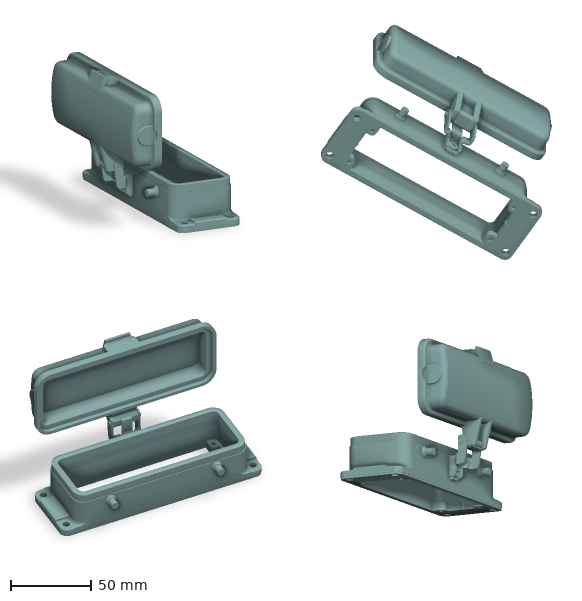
import cadquery as cq
import math


ROOT = 1.4
MARGIN = 0.1

FLANGE_LENGTH = 140.0
FLANGE_WIDTH = 43.7
FLANGE_HEIGHT = 5.2
FLANGE_CORNER = 4.9
FLANGE_EDGE_FILLET = 1.0
FOOT_HEIGHT = 1.3
FOOT_INSET = 0.1

WALL_LENGTH = 120.1
WALL_WIDTH = 43.5
WALL_CORNER = 7.5
WALL_BASE_FILLET = 2.1
WALL_TOP = 23.1
COLLAR_INSET = 0.4
COLLAR_TOP = 28.3
RIM_CROWN = 0.4

OPENING_LENGTH = 111.5
OPENING_WIDTH = 34.9
OPENING_CORNER = 3.6
CAVITY_GROWTH = 0.5
THROAT_TOP = 22.5
THROAT_BOTTOM = 16.8

MOUNT_HOLE = 4.8
MOUNT_SPACING = (130.2, 31.9)
PAD_WIDTH = 22.0
PAD_TOP = 6.5

BOSS_HOLE = 3.0
BOSS_SPACING = (104.2, 26.9)
BOSS_ROUND = 3.1
BOSS_SIDE_MARGIN = 3.5
BOSS_HEIGHT = FLANGE_HEIGHT
END_LEDGE = 1.1
KEY_DIAMETER = 3.0
KEY_PROJECTION = 0.5

PEG_DIAMETER = 4.8
PEG_X = 37.0
PEG_Z = 18.9
PEG_TIP = 28.5
PEG_BASE_DIAMETER = 7.5
PEG_BASE_TOP_DIAMETER = 5.6
PEG_BASE_END = 23.2

COVER_BACK = -30.4
COVER_Z = 63.3
RIM_LENGTH = 125.2
RIM_HEIGHT = 48.0
RIM_CORNER = 10.2
RIM_DEPTH = 5.2
RIM_FILLET = 1.3

SHELL_LENGTH = 118.5
SHELL_HEIGHT = 41.2
SHELL_Z = 62.7
SHELL_CORNER = 6.3
SHELL_DRAFT = 1.0
SHELL_FILLET = 3.5
CROWN_FRONT = -48.7
CROWN_RADIUS = 71.4

SEAT_DEPTH = 2.8
COVER_WALL = 2.5
CAVITY_FRONT = -44.8

DISC_Y = -39.5
DISC_FACE_RADIUS = 6.0
DISC_BASE_RADIUS = 6.7
DISC_FACE_X = 60.2
DISC_ROOT = 0.5
NOTCH_RADIUS = 5.9
NOTCH_FLOOR_X = 60.6

LATCH_BLOCK_WIDTH = 21.5
LATCH_BLOCK_FRONT = -42.7
LATCH_BLOCK_CHAMFER = 1.8
LATCH_TAB_WIDTH = 17.4
LATCH_TAB_TOP = 89.2
LATCH_TAB_TIP = 1.5
LATCH_TAB_FOOT_Y = -47.2
LATCH_TAB_FOOT_Z = 79.2

PIN_Y = -33.5
PIN_Z = 30.0
PIN_DIAMETER = 3.0
PIN_LENGTH = 22.0

LUG_WIDTH = 17.4
LUG_WEB_WIDTH = 9.5
LUG_WEB_FRONT = -40.0
LUG_TOP = 44.1
LUG_TOP_FRONT = -46.3
LUG_BOTTOM = 26.2
LUG_NOSE_Y = -42.0
LUG_NOSE_RISE = 1.0
LUG_CORNER = 1.3
LUG_NECK_Y = -33.9
LUG_SHOULDER_Y = -33.0
LUG_SHOULDER_Z = 39.9
LUG_INNER_Y = -36.4
BARREL_RADIUS = 2.1
BARREL_TOP = 1.7
BAR_TOP = 31.4
BAR_BOTTOM = 26.9
BAR_MIDDLE = (BAR_TOP + BAR_BOTTOM) / 2
BAR_DEPTH = 1.4
LUG_RIB_CHAMFER = 0.8

SHEET = 1.4
CHEEK_ROUND = 3.8
CHEEK_BACK = -31.2
CHEEK_TAPER_TOP = 26.6
CHEEK_TIP_Y = -35.7
CHEEK_TIP_CHAMFER = 1.4
BRACKET_TOP = 22.1
BRACKET_BOTTOM = 15.3
BRACKET_FOOT = 8.8
BRACKET_FOOT_DEPTH = 5.0
CHANNEL_WIDTH = 10.4
FLANGE_BACK = -28.5
BEND_RADIUS = 2.5
CHANNEL_ROUND = 1.3

SPRING_WIDTH = 7.3
SPRING_SHEET = 0.8
SPRING_BOTTOM = 7.3
SPRING_BEND = 1.7
SPRING_SHELF_Z = 21.7
SPRING_RISER_Y = -30.0
SPRING_HOOK_Z = 32.0
SPRING_HOOK_LENGTH = 2.1

SCREW_Z = 12.3
SCREW_HEAD = 7.0
SCREW_HEAD_HEIGHT = 2.1
SCREW_HEAD_CHAMFER = 0.5
CROSS_LENGTH = 4.2
CROSS_WIDTH = 1.5
CROSS_DEPTH = 1.1


def rounded_block(length, width, radius, bottom, top):
    """Upright block with rounded vertical edges, centred on the Z axis."""
    return (
        cq.Workplane("XY", origin=(0, 0, bottom))
        .rect(length, width)
        .extrude(top - bottom)
        .edges("|Z")
        .fillet(radius)
    )


def cover_block(length, height, radius, center_z, back, front):
    """Block of the cover running from y = back to y = front, with rounded corners."""
    return (
        cq.Workplane("XZ", origin=(0, back, center_z))
        .rect(length, height)
        .extrude(back - front)
        .edges("|Y")
        .fillet(radius)
    )


def edges_inside(low, high):
    """Selector for edges lying wholly inside the box between two corners."""
    return cq.selectors.BoxSelector(
        [value - MARGIN for value in low], [value + MARGIN for value in high], boundingbox=True
    )


def side_profile(points, width):
    """Closed (y, z) outline given a width along X, centred on x = 0."""
    return cq.Workplane("YZ").polyline(points).close().extrude(width / 2, both=True)


def housing_shell():
    """Flange and wall with the concave fillet between them, trimmed to the flange outline."""
    oversize = WALL_WIDTH + 4 * WALL_BASE_FILLET
    plate = cq.Workplane("XY").rect(FLANGE_LENGTH, oversize).extrude(FLANGE_HEIGHT)
    wall = rounded_block(WALL_LENGTH, WALL_WIDTH, WALL_CORNER, FLANGE_HEIGHT, WALL_TOP)
    corner = (WALL_LENGTH / 2, WALL_WIDTH / 2)
    root_edges = edges_inside(
        (-corner[0], -corner[1], FLANGE_HEIGHT), (corner[0], corner[1], FLANGE_HEIGHT)
    )
    stepped = plate.union(wall).edges(root_edges).fillet(WALL_BASE_FILLET)

    ends = rounded_block(FLANGE_LENGTH, FLANGE_WIDTH, FLANGE_CORNER, FOOT_HEIGHT, FLANGE_HEIGHT)
    ends = ends.faces(">Z").edges().fillet(FLANGE_EDGE_FILLET)
    foot = rounded_block(
        FLANGE_LENGTH - 2 * FOOT_INSET, FLANGE_WIDTH - 2 * FOOT_INSET, FLANGE_CORNER, 0, FOOT_HEIGHT
    )
    fillet_reach = WALL_LENGTH + 2 * WALL_BASE_FILLET
    middle = cq.Workplane("XY", origin=(0, 0, FOOT_HEIGHT)).rect(fillet_reach, FLANGE_WIDTH)
    middle = middle.extrude(FLANGE_HEIGHT - FOOT_HEIGHT)
    upper = cq.Workplane("XY", origin=(0, 0, FLANGE_HEIGHT)).rect(fillet_reach, WALL_WIDTH)
    upper = upper.extrude(WALL_TOP - FLANGE_HEIGHT)
    envelope = ends.union(foot).union(middle).union(upper)
    return stepped.intersect(envelope)


def collar():
    """Upper part of the wall with a gently crowned rim."""
    length = WALL_LENGTH - 2 * COLLAR_INSET
    width = WALL_WIDTH - 2 * COLLAR_INSET
    block = rounded_block(length, width, WALL_CORNER, WALL_TOP, COLLAR_TOP)

    thickness = (width - OPENING_WIDTH) / 2
    path_corner = WALL_CORNER - thickness / 2
    path = (
        rounded_block(length - thickness, width - thickness, path_corner, COLLAR_TOP - ROOT, COLLAR_TOP)
        .faces(">Z")
        .wires()
    )
    crown_y = -(width - thickness) / 2
    crown = (
        cq.Workplane("YZ", origin=(0, crown_y, COLLAR_TOP))
        .moveTo(-thickness / 2, 0)
        .threePointArc((0, RIM_CROWN), (thickness / 2, 0))
        .close()
        .sweep(path)
    )
    return block.union(crown)


def housing_cavity():
    """Through opening: a narrow mouth that flares to a wider cavity below."""
    mouth = rounded_block(
        OPENING_LENGTH, OPENING_WIDTH, OPENING_CORNER, THROAT_BOTTOM, COLLAR_TOP + 2 * RIM_CROWN
    )
    flare_angle = math.degrees(math.atan(CAVITY_GROWTH / (THROAT_TOP - THROAT_BOTTOM)))
    cavity_length = OPENING_LENGTH + 2 * CAVITY_GROWTH
    cavity_width = OPENING_WIDTH + 2 * CAVITY_GROWTH
    cavity_corner = OPENING_CORNER + CAVITY_GROWTH
    cavity = rounded_block(cavity_length, cavity_width, cavity_corner, 0, THROAT_BOTTOM)
    flare = cavity.faces(">Z").wires().toPending().extrude(
        THROAT_TOP - THROAT_BOTTOM, taper=flare_angle, combine=False
    )
    return mouth.union(cavity).union(flare)


def screw_bosses():
    """Four rounded corner bosses, drilled through, and the end ledges with their keys."""
    boss_x, boss_y = BOSS_SPACING
    inner_x = boss_x / 2 - BOSS_ROUND
    inner_y = boss_y / 2 - BOSS_SIDE_MARGIN
    outer_x = OPENING_LENGTH / 2 + 2 * CAVITY_GROWTH
    outer_y = OPENING_WIDTH / 2 + 2 * CAVITY_GROWTH
    size = (outer_x - inner_x, outer_y - inner_y)
    center = ((outer_x + inner_x) / 2, (outer_y + inner_y) / 2)

    boss = (
        cq.Workplane("XY")
        .center(*center)
        .rect(*size)
        .extrude(BOSS_HEIGHT)
        .edges("|Z and <X and <Y")
        .fillet(BOSS_ROUND)
        .cut(cq.Workplane("XY").center(boss_x / 2, boss_y / 2).circle(BOSS_HOLE / 2).extrude(BOSS_HEIGHT))
    )
    ledge_face = OPENING_LENGTH / 2 - END_LEDGE
    ledge = (
        cq.Workplane("XY")
        .center((ledge_face + outer_x) / 2, 0)
        .rect(outer_x - ledge_face, 2 * inner_y)
        .extrude(BOSS_HEIGHT)
    )
    key_x = ledge_face + KEY_DIAMETER / 2 - KEY_PROJECTION
    key = cq.Workplane("XY").center(key_x, 0).circle(KEY_DIAMETER / 2).extrude(BOSS_HEIGHT)
    end = boss.union(boss.mirror("XZ")).union(ledge).union(key)
    return end.union(end.mirror("YZ"))


def flange_pads():
    """Raised pad in the middle of each flange end, with a rounded outer edge."""
    outer_x = FLANGE_LENGTH / 2
    inner_x = WALL_LENGTH / 2 - ROOT
    pad = cq.Workplane("XY").center((outer_x + inner_x) / 2, 0).rect(outer_x - inner_x, PAD_WIDTH)
    pad = pad.extrude(PAD_TOP - FOOT_HEIGHT).translate((0, 0, FOOT_HEIGHT))
    pad = pad.edges(">X and >Z").fillet(FLANGE_EDGE_FILLET)
    return pad.union(pad.mirror("YZ"))


def locking_peg(x, side):
    """Round peg with a conical base on the wall at y side -1 or +1."""
    inside = WALL_WIDTH / 2 - ROOT
    peg = cq.Workplane("XZ", origin=(0, -inside, 0)).circle(PEG_DIAMETER / 2).extrude(PEG_TIP - inside)
    base = (
        cq.Workplane("XZ", origin=(0, -inside, 0))
        .circle(PEG_BASE_DIAMETER / 2)
        .extrude(WALL_WIDTH / 2 - inside)
        .faces("<Y")
        .workplane()
        .circle(PEG_BASE_DIAMETER / 2)
        .workplane(offset=PEG_BASE_END - WALL_WIDTH / 2)
        .circle(PEG_BASE_TOP_DIAMETER / 2)
        .loft()
    )
    peg = peg.union(base).translate((x, 0, PEG_Z))
    return peg if side < 0 else peg.mirror("XZ")


def make_housing():
    body = housing_shell().union(flange_pads()).union(collar())
    body = body.cut(housing_cavity()).union(screw_bosses())
    for x in (-PEG_X, PEG_X):
        for side in (-1, 1):
            body = body.union(locking_peg(x, side))
    mount_holes = cq.Workplane("XY").rect(*MOUNT_SPACING, forConstruction=True).vertices()
    return body.cut(mount_holes.circle(MOUNT_HOLE / 2).extrude(PAD_TOP))


def cover_shell():
    """Rim and crowned shell with rounded edges and a filleted step between them."""
    rim_front = COVER_BACK - RIM_DEPTH
    outline = cq.Sketch().rect(SHELL_LENGTH, SHELL_HEIGHT).vertices().fillet(SHELL_CORNER)
    shell = (
        cq.Workplane("XZ", origin=(0, COVER_BACK, SHELL_Z))
        .placeSketch(outline)
        .extrude(COVER_BACK - CROWN_FRONT + ROOT, taper=SHELL_DRAFT)
    )
    crown = (
        cq.Workplane("YZ", origin=(0, CROWN_FRONT + CROWN_RADIUS, SHELL_Z))
        .circle(CROWN_RADIUS)
        .extrude(SHELL_LENGTH, both=True)
    )
    shell = shell.intersect(crown).faces("<Y").edges().fillet(SHELL_FILLET)
    rim = cover_block(RIM_LENGTH, RIM_HEIGHT, RIM_CORNER, COVER_Z, COVER_BACK, rim_front)
    rim = rim.faces("<Y").edges().fillet(RIM_FILLET)
    step_edges = edges_inside(
        (-SHELL_LENGTH / 2, rim_front, SHELL_Z - SHELL_HEIGHT / 2),
        (SHELL_LENGTH / 2, rim_front, SHELL_Z + SHELL_HEIGHT / 2),
    )
    return rim.union(shell).edges(step_edges).fillet(RIM_FILLET)


def cover_cavity():
    """Seat for the housing collar and the hollow inside of the shell."""
    seat_front = COVER_BACK - SEAT_DEPTH
    seat = cover_block(WALL_LENGTH, WALL_WIDTH, WALL_CORNER, COVER_Z, COVER_BACK, seat_front)
    hollow = cover_block(
        SHELL_LENGTH - 2 * COVER_WALL,
        SHELL_HEIGHT - 2 * COVER_WALL,
        SHELL_CORNER - COVER_WALL,
        SHELL_Z,
        COVER_BACK,
        CAVITY_FRONT,
    )
    return seat.union(hollow)


def disc_outline(x, radius):
    """Half-round outline at the given x: straight from the rim, round towards the front."""
    rim_side = COVER_BACK - RIM_DEPTH + DISC_ROOT
    return (
        cq.Workplane("YZ", origin=(x, 0, COVER_Z))
        .moveTo(rim_side, -radius)
        .lineTo(DISC_Y, -radius)
        .threePointArc((DISC_Y - radius, 0), (DISC_Y, radius))
        .lineTo(rim_side, radius)
        .close()
        .val()
    )


def end_disc():
    """Half-round plate with bevelled sides on the +X end of the shell."""
    base_x = SHELL_LENGTH / 2 - DISC_ROOT
    root = disc_outline(base_x, DISC_BASE_RADIUS)
    face = disc_outline(DISC_FACE_X, DISC_FACE_RADIUS)
    return cq.Workplane(cq.Solid.makeLoft([root, face], True))


def end_notch():
    """Round clearance cut in the rim in front of the +X disc."""
    return (
        cq.Workplane("YZ", origin=(NOTCH_FLOOR_X, DISC_Y, COVER_Z))
        .circle(NOTCH_RADIUS)
        .extrude(RIM_LENGTH / 2)
    )


def latch():
    """Block flush with the top of the rim, carrying the finger tab."""
    block_back = COVER_BACK - RIM_DEPTH / 2
    block_top = COVER_Z + RIM_HEIGHT / 2
    block_bottom = SHELL_Z + SHELL_HEIGHT / 2 - ROOT
    block = (
        cq.Workplane("XY", origin=(0, (block_back + LATCH_BLOCK_FRONT) / 2, block_bottom))
        .rect(LATCH_BLOCK_WIDTH, block_back - LATCH_BLOCK_FRONT)
        .extrude(block_top - block_bottom)
        .edges("|Z and <Y")
        .chamfer(LATCH_BLOCK_CHAMFER)
    )
    tab_outline = [
        (LATCH_BLOCK_FRONT, LATCH_TAB_TOP),
        (LATCH_BLOCK_FRONT - LATCH_TAB_TIP, LATCH_TAB_TOP),
        (LATCH_TAB_FOOT_Y, LATCH_TAB_FOOT_Z),
        (LATCH_BLOCK_FRONT, LATCH_TAB_FOOT_Z),
    ]
    return block.union(side_profile(tab_outline, LATCH_TAB_WIDTH))


def hinge_lug():
    """Two tapering ribs joined by a recessed web with a rounded bar below it."""
    barrel_back = PIN_Y + BARREL_RADIUS
    bottom_back = (barrel_back - LUG_CORNER, LUG_BOTTOM)
    bottom_front = (LUG_NOSE_Y + LUG_CORNER, LUG_BOTTOM)
    back_outline = [
        bottom_back,
        (barrel_back, LUG_BOTTOM + LUG_CORNER),
        (barrel_back, PIN_Z + BARREL_TOP),
        (LUG_NECK_Y, PIN_Z + CHEEK_ROUND),
        (LUG_SHOULDER_Y, LUG_SHOULDER_Z),
        (LUG_INNER_Y, LUG_TOP),
    ]
    rib_outline = back_outline + [
        (LUG_TOP_FRONT, LUG_TOP),
        (LUG_NOSE_Y, LUG_BOTTOM + LUG_NOSE_RISE),
        bottom_front,
    ]
    rib_width = (LUG_WIDTH - LUG_WEB_WIDTH) / 2
    front_edges = edges_inside(
        (-rib_width, LUG_TOP_FRONT, LUG_BOTTOM), (rib_width, bottom_front[0], LUG_TOP)
    )
    bottom_edges = edges_inside(
        (-rib_width, bottom_front[0], LUG_BOTTOM), (rib_width, bottom_back[0], LUG_BOTTOM)
    )
    rib = side_profile(rib_outline, rib_width)
    rib = rib.edges(front_edges + bottom_edges).edges("not |X").chamfer(LUG_RIB_CHAMFER)

    web = (
        cq.Workplane("YZ")
        .polyline(back_outline)
        .lineTo(LUG_WEB_FRONT, LUG_TOP)
        .lineTo(LUG_WEB_FRONT, BAR_TOP)
        .threePointArc((LUG_WEB_FRONT - BAR_DEPTH, BAR_MIDDLE), (LUG_WEB_FRONT, BAR_BOTTOM))
        .lineTo(LUG_WEB_FRONT, LUG_BOTTOM)
        .close()
        .extrude(LUG_WEB_WIDTH / 2, both=True)
    )
    rib_x = (LUG_WIDTH - rib_width) / 2
    return web.union(rib.translate((-rib_x, 0, 0))).union(rib.translate((rib_x, 0, 0)))


def hinge_bracket():
    """Bent sheet bracket: channel against the housing wall, side flanges and two cheeks."""
    wall_y = -WALL_WIDTH / 2
    half_channel = CHANNEL_WIDTH / 2
    cheek_outer = LUG_WIDTH / 2 + SHEET
    inner_bend = BEND_RADIUS - SHEET
    front_y = FLANGE_BACK - SHEET
    foot_front = wall_y - BRACKET_FOOT_DEPTH

    section = (
        cq.Workplane("XY", origin=(0, 0, BRACKET_FOOT))
        .moveTo(0, wall_y)
        .lineTo(half_channel - CHANNEL_ROUND, wall_y)
        .radiusArc((half_channel, wall_y - CHANNEL_ROUND), CHANNEL_ROUND)
        .lineTo(half_channel, FLANGE_BACK + inner_bend)
        .radiusArc((half_channel + inner_bend, FLANGE_BACK), -inner_bend)
        .lineTo(cheek_outer - BEND_RADIUS, FLANGE_BACK)
        .radiusArc((cheek_outer, FLANGE_BACK - BEND_RADIUS), BEND_RADIUS)
        .lineTo(cheek_outer, CHEEK_BACK - SHEET)
        .lineTo(cheek_outer - SHEET, CHEEK_BACK - SHEET)
        .lineTo(cheek_outer - SHEET, FLANGE_BACK - BEND_RADIUS)
        .radiusArc((cheek_outer - BEND_RADIUS, front_y), -inner_bend)
        .lineTo(half_channel + inner_bend, front_y)
        .radiusArc((half_channel - SHEET, FLANGE_BACK + inner_bend), BEND_RADIUS)
        .lineTo(half_channel - SHEET, wall_y - SHEET)
        .lineTo(0, wall_y - SHEET)
        .close()
        .extrude(BRACKET_TOP - BRACKET_FOOT)
    )
    below_flange = (
        cq.Workplane("XY", origin=(0, foot_front, BRACKET_FOOT))
        .rect(2 * LUG_WIDTH, 2 * LUG_WIDTH)
        .extrude(BRACKET_BOTTOM - BRACKET_FOOT)
        .translate((0, -LUG_WIDTH, 0))
    )
    section = section.cut(below_flange).edges("|X and <Z").edges("<Y").chamfer(SHEET)
    tongue = (
        cq.Workplane("XY", origin=(SPRING_WIDTH / 4, wall_y - SHEET / 2, SPRING_BOTTOM))
        .rect(SPRING_WIDTH / 2, SHEET)
        .extrude(BRACKET_BOTTOM - SPRING_BOTTOM)
    )
    arc_start_z = PIN_Z + math.sqrt(CHEEK_ROUND**2 - (CHEEK_BACK - PIN_Y) ** 2)
    cheek = (
        cq.Workplane("YZ", origin=(LUG_WIDTH / 2, 0, 0))
        .moveTo(CHEEK_BACK, BRACKET_BOTTOM)
        .lineTo(CHEEK_BACK, arc_start_z)
        .threePointArc((PIN_Y, PIN_Z + CHEEK_ROUND), (PIN_Y - CHEEK_ROUND, PIN_Z))
        .lineTo(PIN_Y - CHEEK_ROUND, CHEEK_TAPER_TOP)
        .lineTo(CHEEK_TIP_Y, BRACKET_BOTTOM + CHEEK_TIP_CHAMFER)
        .lineTo(CHEEK_TIP_Y + CHEEK_TIP_CHAMFER, BRACKET_BOTTOM)
        .close()
        .extrude(SHEET)
    )
    half = section.union(tongue).union(cheek)
    return half.union(half.mirror("YZ"))


def leaf_spring():
    """Flat spring screwed to the channel, stepping forward and up to hook behind the lug."""
    flat_y = -WALL_WIDTH / 2 - SHEET - SPRING_SHEET / 2
    bend_mid = SPRING_BEND * (1 - math.sqrt(0.5))
    strip = (
        cq.Workplane("YZ")
        .moveTo(flat_y, SPRING_BOTTOM + SPRING_SHEET / 2)
        .lineTo(flat_y, SPRING_SHELF_Z - SPRING_BEND)
        .threePointArc(
            (flat_y - bend_mid, SPRING_SHELF_Z - bend_mid), (flat_y - SPRING_BEND, SPRING_SHELF_Z)
        )
        .lineTo(SPRING_RISER_Y + SPRING_BEND, SPRING_SHELF_Z)
        .threePointArc(
            (SPRING_RISER_Y + bend_mid, SPRING_SHELF_Z + bend_mid),
            (SPRING_RISER_Y, SPRING_SHELF_Z + SPRING_BEND),
        )
        .lineTo(SPRING_RISER_Y, SPRING_HOOK_Z)
        .lineTo(SPRING_RISER_Y - SPRING_HOOK_LENGTH, SPRING_HOOK_Z)
        .offset2D(SPRING_SHEET / 2)
    )
    return strip.extrude(SPRING_WIDTH / 2, both=True)


def hinge_screw():
    """Round screw head with a cross recess, on top of the spring."""
    seat_y = -WALL_WIDTH / 2 - SHEET - SPRING_SHEET
    front_y = seat_y - SCREW_HEAD_HEIGHT
    head = cq.Workplane("XZ", origin=(0, seat_y, SCREW_Z)).circle(SCREW_HEAD / 2).extrude(SCREW_HEAD_HEIGHT)
    head = head.faces("<Y").edges().chamfer(SCREW_HEAD_CHAMFER)
    slot = cq.Workplane("XZ", origin=(0, front_y + CROSS_DEPTH, SCREW_Z))
    cross = slot.rect(CROSS_LENGTH, CROSS_WIDTH).extrude(CROSS_DEPTH)
    cross = cross.union(slot.rect(CROSS_WIDTH, CROSS_LENGTH).extrude(CROSS_DEPTH))
    return head.cut(cross)


def hinge_pin():
    pin = cq.Workplane("YZ", origin=(0, PIN_Y, PIN_Z)).circle(PIN_DIAMETER / 2)
    return pin.extrude(PIN_LENGTH / 2, both=True)


def make_cover():
    body = cover_shell().union(latch()).union(hinge_lug())
    body = body.union(end_disc()).union(end_disc().mirror("YZ"))
    body = body.cut(end_notch()).cut(end_notch().mirror("YZ"))
    body = body.cut(cover_cavity())
    for part in (hinge_bracket(), leaf_spring(), hinge_screw(), hinge_pin()):
        body = body.union(part)
    return body


housing = make_housing()
cover = make_cover()
result = cq.Compound.makeCompound([housing.val(), cover.val()])